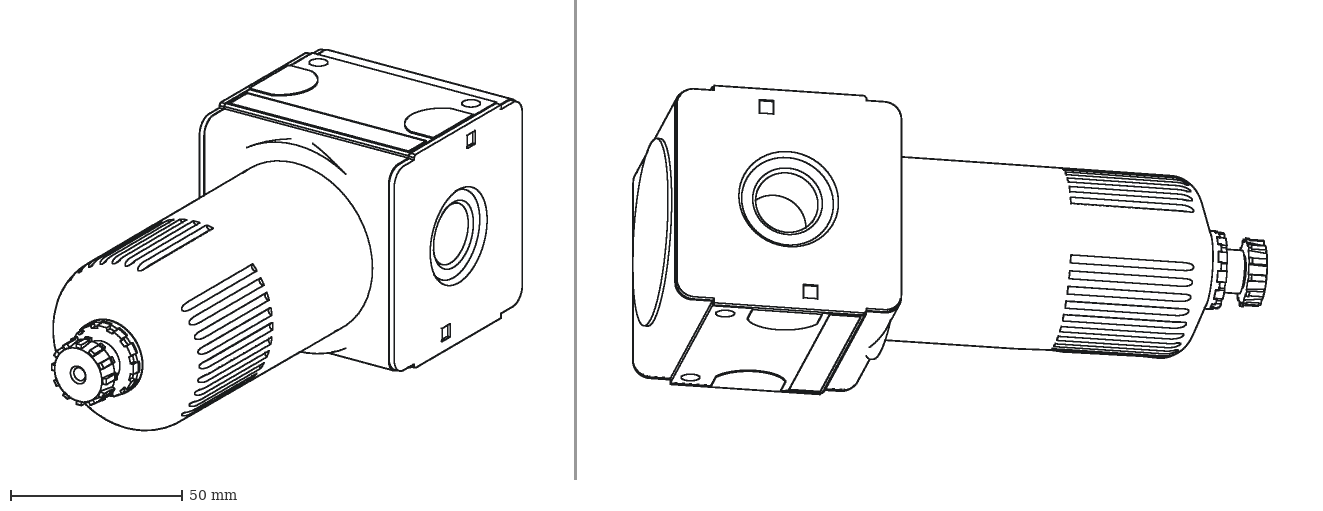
import cadquery as cq
import math


head_width = 68.8
plate_thickness = 1.8
plate_inset = 0.27
head_front = -33.9
head_back = 33.5
land_front = -23.5
land_back = 22.4
land_half_height = 34.2
shoulder_half_height = 32.8
land_chamfer = 0.7
head_corner_radius = 5.1
core_width = head_width - 2 * plate_thickness

collar_radius = shoulder_half_height
cover_diameter = 55.0
cover_back = 34.5

mount_hole_diameter = 5.5
mount_hole_x = 27.0
mount_hole_y = 17.5
pad_half_height = 34.5
pad_radius = 11.3
pad_center_x = 29.0
pad_half_length = 10.4
label_length = 63.3
label_front = -22.0
label_back = -12.7
label_depth = 0.2

port_rim_diameter = 29.7
port_seat_diameter = 27.3
port_rim_depth = 1.8
port_mouth_diameter = 20.7
port_bore_diameter = 18.5
port_lead_in = (port_mouth_diameter - port_bore_diameter) / 2
port_depth = 21.8
pocket_size = 4.2
pocket_y = 6.5
pocket_z = 28.4
pocket_depth = 1.0

bowl_top_radius = 27.0
bowl_radius = 26.8
bowl_fillet_start = -118.3
bowl_fillet_radius = 9.1
bottom_cone_angle = 22
bowl_bottom = -130.7

groove_width = 2.4
groove_depth = 1.0
groove_start = -85.7
groove_pitch = 10
groove_groups = 3
grooves_per_group = 9
groove_group_middle = 0

nut_flange_radius = 11.5
nut_radius = 10.2
nut_flange_bottom = -133.2
nut_bottom = -135.0
nut_lug_count = 12
nut_lug_width = 3.3
nut_lug_radius = 11.01
nut_lug_top = -132.3
stem_radius = 6.4
stem_bottom = -141.0
neck_radius = 9.6 / 2
knob_top = -141.8
knob_bottom = cover_back - 182
knob_core_top_radius = 9.1
knob_core_tip_radius = 8.4
knob_tooth_radius = 9.6
knob_tooth_head_radius = 20 / 2
knob_tooth_head_length = 1.0
knob_tooth_setback = 0.4
knob_tooth_count = 12
knob_tooth_width = 1.8
drain_hole_diameter = 4.0
drain_mouth_diameter = 5.5
drain_mouth_depth = 0.7
drain_hole_depth = 5.5


def head_slab(width, inset):
    """Stepped head outline drawn in the YZ plane, shrunk by inset and centred on X."""
    front, back = head_front + inset, head_back - inset
    land, shoulder = land_half_height - inset, shoulder_half_height - inset
    slab = cq.Workplane("YZ").rect(back - front, 2 * shoulder).extrude(width / 2, both=True)
    slab = slab.translate((0, (front + back) / 2, 0)).edges("|X").fillet(head_corner_radius)
    middle = cq.Workplane("XY").box(width, land_back - land_front - 2 * inset, 2 * land)
    middle = middle.faces("<Y").edges("|X").chamfer(land_chamfer)
    return slab.union(middle.translate((0, (land_front + land_back) / 2, 0)))


def y_cylinder(radius, start, end):
    """Cylinder on the Y axis between two Y positions."""
    return cq.Workplane("XZ", origin=(0, start, 0)).circle(radius).extrude(start - end)


def pad(side):
    """Raised pads above and below the head at one end: a circle trimmed to a strip."""
    disc = cq.Workplane("XY").center(side * pad_center_x, 0).circle(pad_radius)
    disc = disc.extrude(pad_half_height, both=True)
    strip = cq.Workplane("XY").box(core_width, 2 * pad_half_length, 2 * pad_half_height)
    return disc.intersect(strip)


def port(side):
    """Cutter for one stepped, blind port with a conical lead-in, entering along X."""
    face = head_width / 2
    seat = face - port_rim_depth
    profile = [
        (0, face),
        (port_rim_diameter / 2, face),
        (port_seat_diameter / 2, seat),
        (port_mouth_diameter / 2, seat),
        (port_bore_diameter / 2, seat - port_lead_in),
        (port_bore_diameter / 2, face - port_depth),
        (0, face - port_depth),
    ]
    cutter = cq.Workplane("XY").polyline([(side * x, r) for r, x in profile]).close()
    return cutter.revolve(360, (0, 0, 0), (1, 0, 0))


def build_head():
    head = head_slab(core_width, 0).union(head_slab(head_width, plate_inset))
    head = head.union(y_cylinder(collar_radius, 0, head_front))
    head = head.union(y_cylinder(cover_diameter / 2, cover_back, 0))
    for side in (-1, 1):
        head = head.union(pad(side))

    for side in (-1, 1):
        head = head.cut(port(side))
        label = cq.Workplane("XY").box(label_length, label_back - label_front, 2 * label_depth)
        head = head.cut(label.translate((0, (label_front + label_back) / 2, side * land_half_height)))
        for turn in (-1, 1):
            pocket = cq.Workplane("XY").box(2 * pocket_depth, pocket_size, pocket_size)
            head = head.cut(pocket.translate((side * head_width / 2, turn * pocket_y, turn * pocket_z)))

    mount_holes = cq.Workplane("XY").pushPoints([(-mount_hole_x, mount_hole_y), (mount_hole_x, mount_hole_y)])
    return head.cut(mount_holes.circle(mount_hole_diameter / 2).extrude(pad_half_height, both=True))


def bowl_blank():
    """Revolved bowl, drain nut and stem, down to the neck above the knob."""
    fillet_center_radius = bowl_radius - bowl_fillet_radius
    fillet_end_angle = math.radians(90 - bottom_cone_angle)

    def fillet_point(angle):
        return (
            fillet_center_radius + bowl_fillet_radius * math.cos(angle),
            bowl_fillet_start - bowl_fillet_radius * math.sin(angle),
        )

    cone_radius, cone_start = fillet_point(fillet_end_angle)
    cone_end_radius = cone_radius - (cone_start - bowl_bottom) / math.tan(math.radians(bottom_cone_angle))
    outline = (
        cq.Workplane("XY")
        .moveTo(0, head_front)
        .lineTo(bowl_top_radius, head_front)
        .lineTo(bowl_radius, bowl_fillet_start)
        .threePointArc(fillet_point(fillet_end_angle / 2), (cone_radius, cone_start))
        .lineTo(cone_end_radius, bowl_bottom)
        .lineTo(0, bowl_bottom)
        .close()
    )
    bowl = outline.revolve(360, (0, 0, 0), (0, 1, 0))
    bowl = bowl.union(y_cylinder(nut_flange_radius, bowl_bottom, nut_flange_bottom))
    bowl = bowl.union(y_cylinder(nut_radius, nut_flange_bottom, nut_bottom))
    bowl = bowl.union(y_cylinder(stem_radius, nut_bottom, stem_bottom))
    return bowl.union(y_cylinder(neck_radius, stem_bottom, knob_top))


def cut_grip_grooves(bowl):
    """Round-bottomed grooves that run out through the bottom fillet."""
    radius = groove_width / 2
    center = bowl_radius - groove_depth + radius
    groove = cq.Workplane("XZ", origin=(0, groove_start, 0)).center(center, 0).circle(radius)
    groove = groove.extrude(groove_start - bowl_bottom)
    for group in range(groove_groups):
        middle = groove_group_middle + group * 360 / groove_groups
        for index in range(grooves_per_group):
            angle = middle + (index - (grooves_per_group - 1) / 2) * groove_pitch
            bowl = bowl.cut(groove.rotate((0, 0, 0), (0, 1, 0), angle))
    return bowl


def turned_copies(shape, count):
    """Copies of a shape spaced evenly around the Y axis."""
    return [shape.rotate((0, 0, 0), (0, 1, 0), index * 360 / count) for index in range(count)]


def radial_block(inner_radius, outer_radius, start, end, width):
    """Block pointing along +X between two radii and two Y positions."""
    block = cq.Workplane("XY").box(outer_radius - inner_radius, start - end, width)
    return block.translate(((inner_radius + outer_radius) / 2, (start + end) / 2, 0))


def add_nut_lugs(bowl):
    """Flat lugs around the nut, each continuing up as a flat notch in the flange."""
    notch = radial_block(nut_lug_radius, nut_flange_radius, nut_lug_top, nut_flange_bottom, nut_lug_width)
    lug = radial_block(stem_radius, nut_lug_radius, nut_flange_bottom, nut_bottom, nut_lug_width)
    for cutter in turned_copies(notch, nut_lug_count):
        bowl = bowl.cut(cutter)
    for copy in turned_copies(lug, nut_lug_count):
        bowl = bowl.union(copy)
    return bowl


def build_knob():
    """Conical core with stepped straight teeth and a countersunk drain hole."""
    profile = [
        (0, knob_top),
        (knob_core_top_radius, knob_top),
        (knob_core_tip_radius, knob_bottom),
        (0, knob_bottom),
    ]
    knob = cq.Workplane("XY").polyline(profile).close().revolve(360, (0, 0, 0), (0, 1, 0))
    tooth = radial_block(0, knob_tooth_radius, knob_top, knob_bottom + knob_tooth_setback, knob_tooth_width)
    head_end = knob_top - knob_tooth_head_length
    tooth = tooth.union(radial_block(0, knob_tooth_head_radius, knob_top, head_end, knob_tooth_width))
    for copy in turned_copies(tooth, knob_tooth_count):
        knob = knob.union(copy)

    drain = [
        (0, knob_bottom),
        (drain_mouth_diameter / 2, knob_bottom),
        (drain_hole_diameter / 2, knob_bottom + drain_mouth_depth),
        (drain_hole_diameter / 2, knob_bottom + drain_hole_depth),
        (0, knob_bottom + drain_hole_depth),
    ]
    return knob.cut(cq.Workplane("XY").polyline(drain).close().revolve(360, (0, 0, 0), (0, 1, 0)))


def build_bowl():
    bowl = add_nut_lugs(cut_grip_grooves(bowl_blank()))
    return bowl.union(build_knob())


head = build_head()
bowl = build_bowl()
result = cq.Compound.makeCompound([head.val(), bowl.val()])